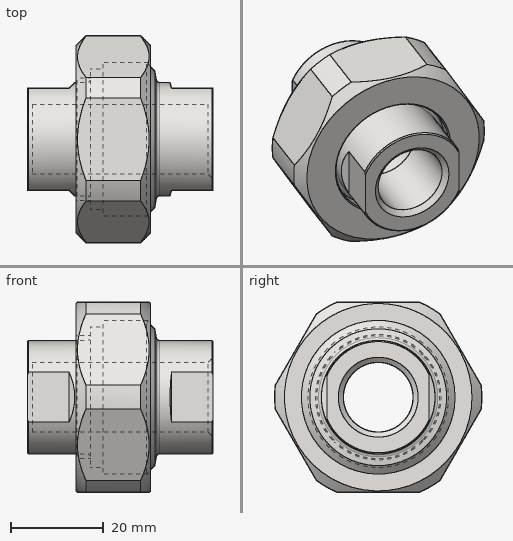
import cadquery as cq
import math

LENGTH = 40.0
NUT_START = 10.45
NUT_WIDTH = 16.1
NUT_END = NUT_START + NUT_WIDTH
LIP_WIDTH = 3.13
FLANGE_WIDTH = 2.7
FLANGE_START = NUT_START + LIP_WIDTH
JOINT = FLANGE_START + FLANGE_WIDTH

ACROSS_FLATS = 41.0
NUT_DIAMETER = 44.7
NUT_CHAMFER = 2.15
LIP_DIAMETER = 26.5
LIP_CHAMFER = 0.25

BARREL_DIAMETER = 24.5
BORE_DIAMETER = 14.95
BORE_CHAMFER = 1.1
END_CHAMFER = 0.25
ROOT_FILLET = 0.7
FLANGE_DIAMETER = 30.3

THREAD_DIAMETER = 33.1
SHOULDER_DIAMETER = 29.5
SHOULDER_END = 27.45
WALL_SLOPE = 10.0

FLAT_SPACING = 22.0
FLAT_LENGTH = 8.95
TAILPIECE_RUNOUT = 45.0
CONNECTOR_RUNOUT = 15.0

barrel_radius = BARREL_DIAMETER / 2
bore_radius = BORE_DIAMETER / 2


def revolve_about_x(profile):
    """Revolve a closed (x, radius) profile about the X axis."""
    return profile.close().revolve(360, (0, 0, 0), (1, 0, 0))


def cylinder(start, end, diameter):
    return cq.Workplane("YZ", origin=(start, 0, 0)).circle(diameter / 2).extrude(end - start)


def cut_wrench_flats(body, end, inward, runout):
    """Cut two flats facing -Y and +Y; inward is the X direction into the body."""
    flat_y = FLAT_SPACING / 2
    outer_y = BARREL_DIAMETER
    flat_end = end + inward * FLAT_LENGTH
    runout_end = flat_end + inward * (outer_y - flat_y) * math.tan(math.radians(runout))
    barrel = cylinder(0, LENGTH, BARREL_DIAMETER)
    for side in (-1, 1):
        cutter = (
            cq.Workplane("XY")
            .moveTo(end, side * flat_y)
            .lineTo(flat_end, side * flat_y)
            .lineTo(runout_end, side * outer_y)
            .lineTo(end, side * outer_y)
            .close()
            .extrude(barrel_radius, both=True)
        )
        body = body.cut(cutter.intersect(barrel))
    return body


def make_nut():
    """Hexagon nut with flats facing -Z and +Z and a stepped bore."""
    corner_diameter = ACROSS_FLATS / math.cos(math.radians(30))
    hexagon = (
        cq.Workplane("YZ", origin=(NUT_START, 0, 0))
        .polygon(6, corner_diameter)
        .extrude(NUT_WIDTH)
    )
    turned_blank = cylinder(NUT_START, NUT_END, NUT_DIAMETER).edges().chamfer(NUT_CHAMFER)
    nut = hexagon.intersect(turned_blank)

    lip_radius = LIP_DIAMETER / 2
    flange_radius = FLANGE_DIAMETER / 2
    thread_radius = THREAD_DIAMETER / 2
    bore = revolve_about_x(
        cq.Workplane("XY")
        .moveTo(NUT_START, 0)
        .lineTo(NUT_START, lip_radius + LIP_CHAMFER)
        .lineTo(NUT_START + LIP_CHAMFER, lip_radius)
        .lineTo(FLANGE_START, lip_radius)
        .lineTo(FLANGE_START, flange_radius)
        .lineTo(JOINT, flange_radius)
        .lineTo(JOINT, thread_radius)
        .lineTo(NUT_END, thread_radius)
        .lineTo(NUT_END, 0)
    )
    return nut.cut(bore)


def make_tailpiece():
    """Plain connector whose flange is held behind the lip of the nut."""
    flange_radius = FLANGE_DIAMETER / 2
    fillet_middle = ROOT_FILLET * (1 - math.sqrt(0.5))
    body = revolve_about_x(
        cq.Workplane("XY")
        .moveTo(0, bore_radius + BORE_CHAMFER)
        .lineTo(0, barrel_radius - END_CHAMFER)
        .lineTo(END_CHAMFER, barrel_radius)
        .lineTo(FLANGE_START - ROOT_FILLET, barrel_radius)
        .threePointArc(
            (FLANGE_START - fillet_middle, barrel_radius + fillet_middle),
            (FLANGE_START, barrel_radius + ROOT_FILLET),
        )
        .lineTo(FLANGE_START, flange_radius)
        .lineTo(JOINT, flange_radius)
        .lineTo(JOINT, bore_radius)
        .lineTo(BORE_CHAMFER, bore_radius)
    )
    return cut_wrench_flats(body, 0, 1, TAILPIECE_RUNOUT)


def make_threaded_connector():
    """Connector whose large diameter screws into the nut."""
    thread_radius = THREAD_DIAMETER / 2
    shoulder_radius = SHOULDER_DIAMETER / 2
    shoulder_start = SHOULDER_END - (thread_radius - shoulder_radius)

    slope = math.radians(WALL_SLOPE)
    wall_foot = SHOULDER_END + (shoulder_radius - barrel_radius) * math.tan(slope)
    tangent_length = ROOT_FILLET * math.tan((math.pi / 2 - slope) / 2)
    fillet_start = (
        wall_foot - tangent_length * math.sin(slope),
        barrel_radius + tangent_length * math.cos(slope),
    )
    fillet_end_x = wall_foot + tangent_length
    middle_angle = math.pi + (math.pi / 2 + slope) / 2
    fillet_middle = (
        fillet_end_x + ROOT_FILLET * math.cos(middle_angle),
        barrel_radius + ROOT_FILLET + ROOT_FILLET * math.sin(middle_angle),
    )

    body = revolve_about_x(
        cq.Workplane("XY")
        .moveTo(JOINT, bore_radius)
        .lineTo(JOINT, thread_radius)
        .lineTo(shoulder_start, thread_radius)
        .lineTo(SHOULDER_END, shoulder_radius)
        .lineTo(*fillet_start)
        .threePointArc(fillet_middle, (fillet_end_x, barrel_radius))
        .lineTo(LENGTH - END_CHAMFER, barrel_radius)
        .lineTo(LENGTH, barrel_radius - END_CHAMFER)
        .lineTo(LENGTH, bore_radius + BORE_CHAMFER)
        .lineTo(LENGTH - BORE_CHAMFER, bore_radius)
    )
    return cut_wrench_flats(body, LENGTH, -1, CONNECTOR_RUNOUT)


nut = make_nut()
tailpiece = make_tailpiece()
threaded_connector = make_threaded_connector()

result = cq.Compound.makeCompound([nut.val(), tailpiece.val(), threaded_connector.val()])